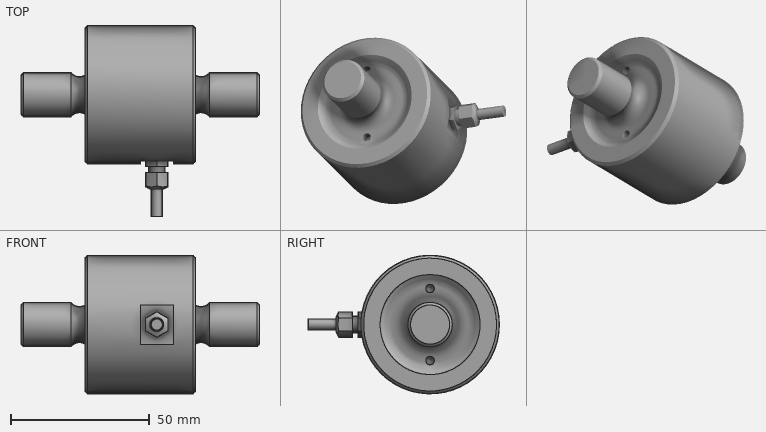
import cadquery as cq
import math

overall_length = 86.0
drum_length = 40.0
drum_diameter = 50.0
edge_chamfer = 1.0
stud_diameter = 16.0
stud_length = 18.0
stud_chamfer = 0.95

recess_mouth_diameter = 36.0
recess_wall_diameter = 32.3
recess_floor_diameter = 27.9
recess_mouth_angle = 36.0
neck_arc_radius = 4.0
neck_flare_diameter = 21.1

blind_hole_diameter = 3.0
blind_hole_depth = 3.4
blind_hole_circle_radius = 13.0
drill_point_angle = 118.0

flat_width = 11.95
flat_depth = 1.0

hex_across_flats = 8.0
base_hex_height = 2.0
gland_neck_diameter = 6.0
gland_neck_length = 2.1
nut_height = 6.0
nut_tip_diameter = 4.9
nut_cone_height = 1.1

cable_diameter = 4.0
cable_length = 20.0

drum_half = drum_length / 2
drum_radius = drum_diameter / 2
gland_x = flat_width / 2
flat_y = -(drum_radius - flat_depth)

mouth_slope = math.radians(recess_mouth_angle)
corner_rise = (recess_wall_diameter - recess_floor_diameter) / 2 * math.tan(mouth_slope / 2)
mouth_depth = (recess_mouth_diameter - recess_wall_diameter) / 2 * math.tan(mouth_slope)
floor_x = drum_half - mouth_depth - corner_rise

nut_start = base_hex_height + gland_neck_length
gland_length = nut_start + nut_height
hex_across_corners = hex_across_flats / math.cos(math.radians(30))


def make_centered_cylinder(diameter, length, chamfer):
    """Cylinder along X, centered on the origin, with both rims chamfered."""
    start_plane = cq.Workplane("YZ", origin=(-length / 2, 0, 0))
    return start_plane.circle(diameter / 2).extrude(length).faces("<X or >X").chamfer(chamfer)


def make_turned_stock():
    """Drum with a plain chamfered stud running through it along X."""
    drum = make_centered_cylinder(drum_diameter, drum_length, edge_chamfer)
    stud = make_centered_cylinder(stud_diameter, overall_length, stud_chamfer)
    return drum.union(stud)


def make_recess():
    """Ring-shaped cutter for the recess and the stud neck at the +X end."""
    flare_radius = neck_flare_diameter / 2
    wall_radius = recess_wall_diameter / 2
    floor_radius = recess_floor_diameter / 2
    mouth_radius = recess_mouth_diameter / 2

    stud_start = overall_length / 2 - stud_length
    narrowest_point = (floor_x + neck_arc_radius, flare_radius - neck_arc_radius)

    return (
        cq.Workplane("XY")
        .moveTo(stud_start, stud_diameter / 2)
        .threePointArc(narrowest_point, (floor_x, flare_radius))
        .lineTo(floor_x, floor_radius)
        .tangentArcPoint((floor_x + corner_rise, wall_radius), relative=False)
        .lineTo(drum_half, mouth_radius)
        .lineTo(stud_start, mouth_radius)
        .close()
        .revolve(360, (0, 0, 0), (1, 0, 0))
    )


def make_blind_hole(z):
    """Cutter for a drilled hole at the +X end with a conical bottom."""
    radius = blind_hole_diameter / 2
    point_height = radius / math.tan(math.radians(drill_point_angle / 2))
    bottom = floor_x - blind_hole_depth
    return (
        cq.Workplane("XY", origin=(0, 0, z))
        .moveTo(bottom - point_height, 0)
        .lineTo(bottom, radius)
        .lineTo(drum_half, radius)
        .lineTo(drum_half, 0)
        .close()
        .revolve(360, (0, 0, 0), (1, 0, 0))
    )


def make_flat_cutter():
    return (
        cq.Workplane("XY")
        .box(flat_width, flat_depth, drum_diameter, centered=(True, False, True))
        .translate((gland_x, -drum_radius, 0))
    )


def make_housing():
    end_cutters = [make_recess()]
    for side in (1, -1):
        end_cutters.append(make_blind_hole(side * blind_hole_circle_radius))
    body = make_turned_stock()
    for cutter in end_cutters:
        body = body.cut(cutter).cut(cutter.mirror("YZ"))
    return body.cut(make_flat_cutter())


def gland_plane(distance):
    """Workplane on the gland axis, facing -Y, at a distance out from the flat."""
    return cq.Workplane(cq.Plane((gland_x, flat_y - distance, 0), xDir=(0, 0, 1), normal=(0, -1, 0)))


def make_cone_envelope():
    """Round body that trims the outer corners of the nut to a shallow cone."""
    tip_radius = nut_tip_diameter / 2
    rim_radius = hex_across_corners / 2
    return (
        cq.Workplane(cq.Plane((gland_x, flat_y, 0), xDir=(1, 0, 0), normal=(0, 0, -1)))
        .lineTo(rim_radius, 0)
        .lineTo(rim_radius, gland_length - nut_cone_height)
        .lineTo(tip_radius, gland_length)
        .lineTo(0, gland_length)
        .close()
        .revolve(360, (0, 0, 0), (0, 1, 0))
    )


def make_gland():
    base_hex = gland_plane(0).polygon(6, hex_across_corners).extrude(base_hex_height)
    neck = gland_plane(0).circle(gland_neck_diameter / 2).extrude(gland_length)
    nut = gland_plane(nut_start).polygon(6, hex_across_corners).extrude(nut_height)
    gland = base_hex.union(neck).union(nut).intersect(make_cone_envelope())
    bore = gland_plane(0).circle(cable_diameter / 2).extrude(gland_length)
    return gland.cut(bore)


def make_cable():
    return gland_plane(0).circle(cable_diameter / 2).extrude(cable_length)


housing = make_housing()
gland = make_gland()
cable = make_cable()

result = cq.Compound.makeCompound([housing.val(), gland.val(), cable.val()])